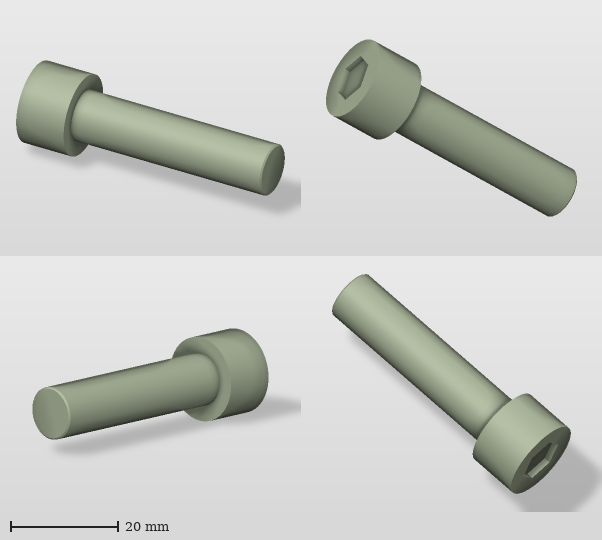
import cadquery as cq
import math

total_length = 50.0
head_diameter = 16.0
head_length = 10.0
shank_diameter = 10.0
tip_chamfer = 0.3
socket_across_flats = 8.0
socket_depth = 1.25


def make_head():
    return cq.Workplane("YZ").circle(head_diameter / 2).extrude(head_length)


def make_shank():
    shank = (
        cq.Workplane("YZ", origin=(head_length, 0, 0))
        .circle(shank_diameter / 2)
        .extrude(total_length - head_length)
    )
    return shank.faces(">X").edges().chamfer(tip_chamfer)


def make_socket():
    across_corners = socket_across_flats / math.cos(math.radians(30))
    return cq.Workplane("YZ").polygon(6, across_corners).extrude(socket_depth)


result = make_head().union(make_shank()).cut(make_socket())